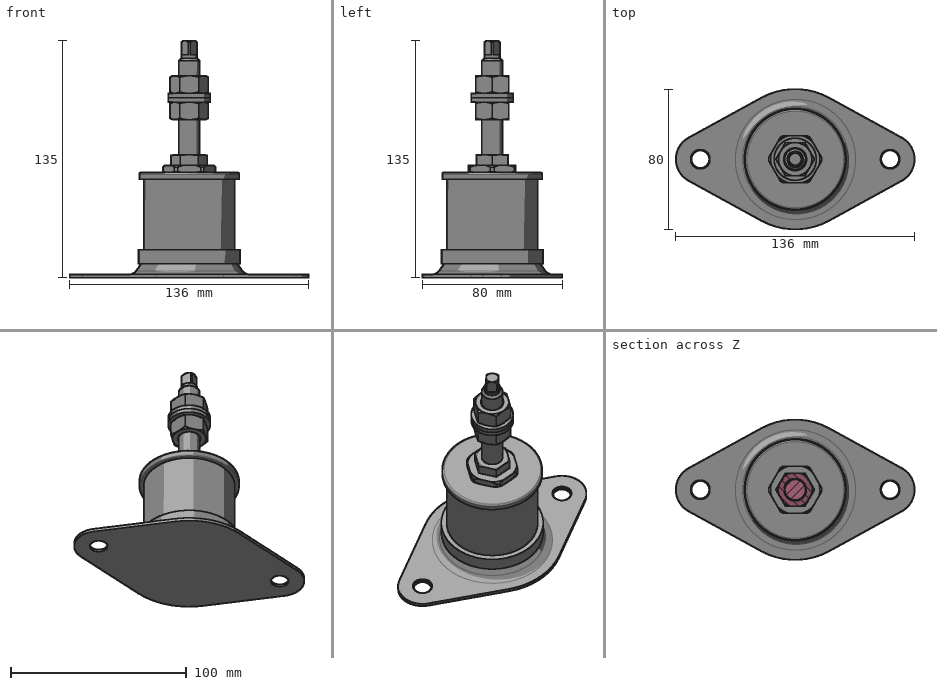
import cadquery as cq
import math

plate_thickness = 2.0
plate_centre_radius = 40.0
ear_radius = 14.0
ear_offset = 54.0
ear_hole_diameter = 10.0
ear_hole_chamfer = 0.5
ear_hole_chamfer_angle = 90.0

flare_fillet_radius = 5.0
flare_angle = math.radians(55)
flare_outer_radius = 34.25

ring_diameter = 58.0
ring_bottom = 8.0
ring_top = 16.0
housing_diameter = 52.0
rim_diameter = 57.0
rim_bottom = 56.0
rim_top = 60.0
rim_top_fillet = 1.0
rim_bottom_fillet = 0.5

wide_hex_flats = 27.0
wide_hex_corner_diameter = 30.0
wide_hex_chamfer = 1.0
wide_hex_bottom_drop = 0.5
wide_hex_height = 4.0
narrow_hex_flats = 18.0
narrow_hex_height = 6.0
narrow_hex_chamfer_angle = math.radians(15)

spindle_diameter = 12.0
neck_diameter = 9.0
neck_bottom = 125.0
square_bottom = 127.0
square_flats = 7.0
overall_height = 135.0
tip_chamfer = 1.0

nut_flats = 19.0
nut_height = 10.0
nut_mouth_diameter = 13.0
nut_chamfer_angle = math.radians(30)
lower_nut_bottom = 90.0
washer_diameter = 24.0
washer_bore = 13.5
washer_thickness = 2.5
washers_per_stack = 2


def cylinder(diameter, bottom, top):
    return cq.Workplane("XY").workplane(offset=bottom).circle(diameter / 2).extrude(top - bottom)


def hexagon(flats, bottom, height):
    """Hexagonal prism with two flats facing -Y and +Y."""
    across_corners = flats / math.cos(math.pi / 6)
    return cq.Workplane("XY").workplane(offset=bottom).polygon(6, across_corners).extrude(height)


def turned_hexagon(flats, bottom, height, chamfer_angle, chamfered_ends):
    """Hexagonal prism with cones turned on the chosen ends, leaving round end faces."""
    corner_radius = flats / 2 / math.cos(math.pi / 6)
    chamfer_width = corner_radius - flats / 2
    chamfer_drop = chamfer_width * math.tan(chamfer_angle)
    turned_blank = cylinder(2 * corner_radius, bottom, bottom + height)
    for end in chamfered_ends:
        turned_blank = turned_blank.faces(end).chamfer(chamfer_drop, chamfer_width)
    return hexagon(flats, bottom, height).intersect(turned_blank)


def make_plate():
    tangent_sine = (plate_centre_radius - ear_radius) / ear_offset
    tangent_cosine = math.sqrt(1 - tangent_sine**2)
    centre_x = plate_centre_radius * tangent_sine
    centre_y = plate_centre_radius * tangent_cosine
    ear_x = ear_offset + ear_radius * tangent_sine
    ear_y = ear_radius * tangent_cosine
    ear_end = ear_offset + ear_radius
    plate = (
        cq.Workplane("XY")
        .moveTo(-centre_x, centre_y)
        .threePointArc((0, plate_centre_radius), (centre_x, centre_y))
        .lineTo(ear_x, ear_y)
        .threePointArc((ear_end, 0), (ear_x, -ear_y))
        .lineTo(centre_x, -centre_y)
        .threePointArc((0, -plate_centre_radius), (-centre_x, -centre_y))
        .lineTo(-ear_x, -ear_y)
        .threePointArc((-ear_end, 0), (-ear_x, ear_y))
        .close()
        .extrude(plate_thickness)
    )
    return (
        plate.faces(">Z")
        .workplane(origin=(0, 0, plate_thickness))
        .pushPoints([(-ear_offset, 0), (ear_offset, 0)])
        .cskHole(ear_hole_diameter, ear_hole_diameter + 2 * ear_hole_chamfer, ear_hole_chamfer_angle)
    )


def make_flare():
    """Fillet rising from the plate, continued by a tangent cone up to the ring."""
    def fillet_point(angle):
        radius = flare_outer_radius - flare_fillet_radius * math.sin(angle)
        height = plate_thickness + flare_fillet_radius * (1 - math.cos(angle))
        return radius, height

    cone_start = fillet_point(flare_angle)
    cone_end_radius = cone_start[0] - (ring_bottom - cone_start[1]) / math.tan(flare_angle)
    return (
        cq.Workplane("XZ")
        .moveTo(0, plate_thickness)
        .lineTo(flare_outer_radius, plate_thickness)
        .threePointArc(fillet_point(flare_angle / 2), cone_start)
        .lineTo(cone_end_radius, ring_bottom)
        .lineTo(0, ring_bottom)
        .close()
        .revolve(360, (0, 0), (0, 1))
    )


def make_housing():
    ring = cylinder(ring_diameter, ring_bottom, ring_top)
    drum = cylinder(housing_diameter, ring_top, rim_bottom)
    rim = cylinder(rim_diameter, rim_bottom, rim_top)
    rim = rim.faces(">Z").edges().fillet(rim_top_fillet)
    rim = rim.faces("<Z").edges().fillet(rim_bottom_fillet)
    return ring.union(drum).union(rim)


def make_hex_base():
    wide_hex_top = rim_top + wide_hex_height
    turned_blank = cylinder(wide_hex_corner_diameter, rim_top, wide_hex_top)
    turned_blank = turned_blank.faces(">Z").chamfer(wide_hex_chamfer)
    turned_blank = turned_blank.faces("<Z").chamfer(wide_hex_bottom_drop, wide_hex_chamfer)
    wide_hex = hexagon(wide_hex_flats, rim_top, wide_hex_height).intersect(turned_blank)
    narrow_hex = turned_hexagon(
        narrow_hex_flats, wide_hex_top, narrow_hex_height, narrow_hex_chamfer_angle, [">Z"]
    )
    return wide_hex.union(narrow_hex)


def make_spindle():
    shoulder_chamfer = (spindle_diameter - neck_diameter) / 2
    spindle_bottom = rim_top + wide_hex_height + narrow_hex_height
    shaft = cylinder(spindle_diameter, spindle_bottom, neck_bottom).faces(">Z").chamfer(shoulder_chamfer)
    neck = cylinder(neck_diameter, neck_bottom, square_bottom)
    square = (
        cq.Workplane("XY")
        .workplane(offset=square_bottom)
        .rect(square_flats, square_flats)
        .extrude(overall_height - square_bottom)
        .rotate((0, 0, 0), (0, 0, 1), 45)
    )
    tip = cylinder(neck_diameter, square_bottom, overall_height).faces(">Z").chamfer(tip_chamfer)
    return shaft.union(neck).union(tip.intersect(square))


def make_mount():
    """One solid from the mounting plate up to the tip of the spindle."""
    base = make_plate().union(make_flare())
    return base.union(make_housing()).union(make_hex_base()).union(make_spindle())


def make_nut(bottom):
    """Nut seated on the spindle, with a countersunk mouth at both ends of its bore."""
    top = bottom + nut_height
    mouth_chamfer = (nut_mouth_diameter - spindle_diameter) / 2
    blank = turned_hexagon(nut_flats, bottom, nut_height, nut_chamfer_angle, [">Z", "<Z"])
    bored = blank.cut(cylinder(spindle_diameter, bottom, top))
    mouth_edges = bored.edges(cq.selectors.RadiusNthSelector(0))
    return mouth_edges.chamfer(mouth_chamfer)


def make_washer(bottom):
    top = bottom + washer_thickness
    return cylinder(washer_diameter, bottom, top).cut(cylinder(washer_bore, bottom, top))


washer_stack_bottom = lower_nut_bottom + nut_height
upper_nut_bottom = washer_stack_bottom + washers_per_stack * washer_thickness

mount = make_mount()
nuts = [make_nut(bottom) for bottom in (lower_nut_bottom, upper_nut_bottom)]
washers = [make_washer(washer_stack_bottom + i * washer_thickness) for i in range(washers_per_stack)]

result = cq.Compound.makeCompound(
    [mount.val()] + [nut.val() for nut in nuts] + [washer.val() for washer in washers]
)